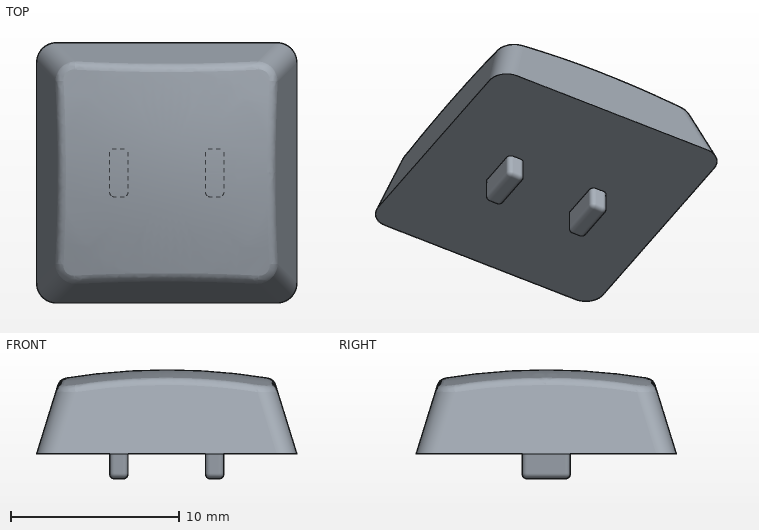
import cadquery as cq

base_width = 15.5
corner_radius = 1.2
skirt_height = 6.2
taper_run_per_height = 0.31

crown_height = 5.0
dome_radius = 37.2
rim_fillet = 0.62

leg_thickness = 1.1
leg_width = 2.87
leg_length = 1.49
leg_offset = 2.85
leg_fillet = 0.3


def make_cap():
    """Tapered square block trimmed by a sphere, with a rounded rim."""
    upper_width = base_width - 2 * taper_run_per_height * skirt_height
    base = cq.Sketch().rect(base_width, base_width).vertices().fillet(corner_radius)
    upper = cq.Sketch().rect(upper_width, upper_width).vertices().fillet(corner_radius)
    block = (
        cq.Workplane("XY")
        .placeSketch(base, upper.moved(cq.Location(cq.Vector(0, 0, skirt_height))))
        .loft()
    )
    dome = cq.Workplane("XY").sphere(dome_radius).translate((0, 0, crown_height - dome_radius))
    return block.intersect(dome).faces("%SPHERE").edges().fillet(rim_fillet)


def make_leg(center_x):
    """Rounded tab hanging from the underside of the cap."""
    return (
        cq.Workplane("XY")
        .center(center_x, 0)
        .rect(leg_thickness, leg_width)
        .extrude(-leg_length)
        .edges("|Z")
        .fillet(leg_fillet)
        .faces("<Z")
        .edges()
        .fillet(leg_fillet)
    )


result = make_cap()
for side in (-1, 1):
    result = result.union(make_leg(side * leg_offset))